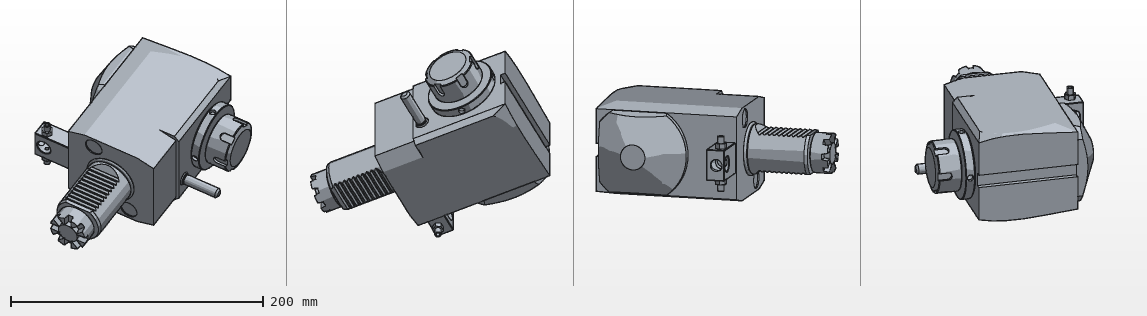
import cadquery as cq
import math


BODY_LENGTH = 116.1
BODY_HALF_HEIGHT = 37.5
SIDE_HALF_HEIGHT = 33.5
BODY_LEFT = -39.5
BODY_RIGHT = 41.5
FRONT_RIGHT = 39.0
FRONT_PORTION_LENGTH = 35.0
BEVEL_ANGLE = 15
BEVEL_DROP = BODY_HALF_HEIGHT - SIDE_HALF_HEIGHT
BEVEL_RUN = BEVEL_DROP / math.tan(math.radians(BEVEL_ANGLE))
LEFT_BEVEL_X = BODY_LEFT + BEVEL_RUN
RIGHT_CHAMFER = BEVEL_DROP
RIGHT_BEVEL_X = BODY_RIGHT - RIGHT_CHAMFER

RELIEF_SETBACK = 12.5
CROWN_SETBACK = 3.3
CROWN_X = 11.0
LEFT_SHOULDER = (-9.2, 7.0)
RIGHT_SHOULDER = (27.6, 6.3)
REAR_CROWN_HEIGHT = 37.0
REAR_SHOULDER = (-14.7, 35.5)

REAR_SLOT_WIDTH = 10.7
REAR_SLOT_DEPTH = 4.0

BOLT_X = 16.1
BOLT_Z = 27.8
BOLT_RADIUS = 7.5
BOLT_DEPTH = 1.1

SPINDLE_Y = 80.0
CAP_RADIUS = 40.0
CAP_RIM = 5.3
CAP_HEIGHT = 20.0
CAP_TIP_RADIUS = 10.1
CAP_BACK = 31.5
CAP_STEP = 1.7

BLOCK_LEFT = -71.2
BLOCK_FRONT = 1.1
BLOCK_DEPTH = 14.9
BLOCK_HALF_HEIGHT = 12.5
BLOCK_EDGE = 0.5
CROSS_X = -62.7
CROSS_RADIUS = 6.0
CROSS_CHAMFER = 0.5
PORT_Y = 7.7
PORT_RADIUS = 4.8
PORT_DEPTH = 19.3
PORT_PILOT_RADIUS = 1.5
PORT_PILOT_DEPTH = 3.7
NOZZLE_Y = 6.3
NUT_ACROSS_CORNERS = 9.0
NUT_HEIGHT = 4.0
NOZZLE_RADIUS = 2.5
NOZZLE_TOP = 22.0
NOZZLE_BORE_RADIUS = 1.5

NECK_RADIUS = 26.1
RING_START = 42.5
RING_END = 50.0
RING_RADIUS = 28.0
RING_CHAMFER = 0.5
RING_HOLE_RADIUS = 2.5
RING_HOLE_DEPTH = 2.8
RING_HOLES = 4
DRILL_POINT = 1.5
COLLAR_RADIUS = 16.4
NUT_START = 51.2
NUT_END = 71.8
NUT_RADIUS = 21.0
NUT_CHAMFER = 0.7
NUT_BEVEL_START = 69.4
NUT_BEVEL_MIDDLE = (70.1, 20.5)
NUT_FACE_RADIUS = 16.0
NUT_SLOTS = 6
NUT_SLOT_WIDTH = 6.3
NUT_SLOT_START = 59.5
NUT_SLOT_FLOOR = 18.8

PIN_Y = 42.9
PIN_Z = -17.57
PIN_RADIUS = 4.0
PIN_END = 74.0
PIN_CHAMFER = 1.7
PIN_BASE_RADIUS = 5.5
PIN_BASE_TOP_RADIUS = 4.8
PIN_BASE_HEIGHT = 1.1
PIN_GROOVE_RADIUS = 3.7
PIN_GROOVE_END = 43.6

SHANK_RADIUS = 20.0
SHANK_END = -52.5
SHANK_CHAMFER_LENGTH = 2.5
SHANK_END_RADIUS = 19.1
SEAL_RADIUS = 21.5
SEAL_WIDTH = 2.4
LEAD_IN_RADIUS = 19.5
LEAD_IN_LENGTH = 1.0
FLAT_HEIGHT = 15.8
FLAT_START = -9.4
RUNOUT_TOP_Y = -2.8
RUNOUT_TOP_Z = 22.0
TOOTH_PITCH = 4.0
TOOTH_DEPTH = 1.3
TOOTH_COUNT = 10
FIRST_VALLEY = -11.5
VALLEY_WIDTH = 3.7
VALLEY_FLOOR_WIDTH = 0.5

COUPLING_NECK_RADIUS = 12.7
COUPLING_START = -53.5
COUPLING_END = -67.9
COUPLING_RADIUS = 16.1
COUPLING_CHAMFER = 0.4
COUPLING_HUB_RADIUS = 8.6
COUPLING_SLOTS = 8
SLOT_DEPTH = 4.6
SLOT_FLOOR_WIDTH = 4.2
SLOT_MOUTH_WIDTH = 6.0

OVERLAP = 1.8
CLEAR = 73.6


def revolve_about_x(profile, y=0.0, z=0.0):
    """Revolve an (x, radius) profile about an axis parallel to X."""
    turned = cq.Workplane("XY").polyline(profile).close().revolve(360, (0, 0, 0), (1, 0, 0))
    return turned.translate((0, y, z))


def revolve_about_y(profile):
    """Revolve a (radius, y) profile about the Y axis."""
    return cq.Workplane("XY").polyline(profile).close().revolve(360, (0, 0, 0), (0, 1, 0))


def box_between(x0, x1, y0, y1, z0, z1):
    return cq.Workplane("XY").box(x1 - x0, y1 - y0, z1 - z0, centered=False).translate((x0, y0, z0))


def prism_along_y(outline, start, length):
    """Extrude an (x, z) outline from y = start towards +Y."""
    return cq.Workplane("XZ", origin=(0, start, 0)).polyline(outline).close().extrude(-length)


def mirror_z(solid):
    return solid.mirror("XY")


def mirrored(upper):
    """Reflect (x, z) outline points below z = 0, ordered to close the outline."""
    return [(x, -z) for x, z in reversed(upper)]


def housing_outline(right_top_x, right_side_x):
    """Cross-section of the housing, symmetric about z = 0."""
    upper = [
        (BODY_LEFT, SIDE_HALF_HEIGHT),
        (LEFT_BEVEL_X, BODY_HALF_HEIGHT),
        (right_top_x, BODY_HALF_HEIGHT),
        (right_side_x, SIDE_HALF_HEIGHT),
    ]
    return upper + mirrored(upper)


def rear_relief():
    """Wedge above the ruled surface between the rear edge and the crowned top edge."""
    rear_edge = cq.Edge.makeSpline([
        cq.Vector(BODY_LEFT, BODY_LENGTH, SIDE_HALF_HEIGHT),
        cq.Vector(REAR_SHOULDER[0], BODY_LENGTH, REAR_SHOULDER[1]),
        cq.Vector(CROWN_X, BODY_LENGTH, REAR_CROWN_HEIGHT),
        cq.Vector(BODY_RIGHT, BODY_LENGTH, SIDE_HALF_HEIGHT),
    ])
    crown_points = [
        (LEFT_BEVEL_X, RELIEF_SETBACK),
        LEFT_SHOULDER,
        (CROWN_X, CROWN_SETBACK),
        RIGHT_SHOULDER,
        (RIGHT_BEVEL_X, RELIEF_SETBACK),
    ]
    top_edge = cq.Edge.makeSpline([
        cq.Vector(x, BODY_LENGTH - setback, BODY_HALF_HEIGHT) for x, setback in crown_points])
    surface = cq.Face.makeRuledSurface(rear_edge, top_edge)
    return cq.Workplane(cq.Solid.extrudeLinear(surface, cq.Vector(0, 0, 2 * BEVEL_DROP)))


def make_housing():
    front = prism_along_y(
        housing_outline(FRONT_RIGHT - BEVEL_RUN, FRONT_RIGHT), 0, FRONT_PORTION_LENGTH)
    rear = prism_along_y(
        housing_outline(RIGHT_BEVEL_X, BODY_RIGHT),
        FRONT_PORTION_LENGTH, BODY_LENGTH - FRONT_PORTION_LENGTH)
    body = front.union(rear)
    relief = rear_relief()
    body = body.cut(relief).cut(mirror_z(relief))
    for side in (-1, 1):
        recess = (
            cq.Workplane("XZ").center(side * BOLT_X, -side * BOLT_Z)
            .circle(BOLT_RADIUS).extrude(-BOLT_DEPTH)
        )
        body = body.cut(recess)
    half_slot = REAR_SLOT_WIDTH / 2
    return body.cut(box_between(
        -CLEAR, CLEAR, BODY_LENGTH - REAR_SLOT_DEPTH, BODY_LENGTH + OVERLAP, -half_slot, half_slot))


def make_cap():
    """Cone on a short rim, trimmed flat at the rear and in line with the body bevels."""
    base_x = BODY_LEFT + OVERLAP
    rim_x = BODY_LEFT - CAP_RIM
    tip_x = BODY_LEFT - CAP_HEIGHT
    cap = revolve_about_x(
        [(base_x, 0), (base_x, CAP_RADIUS), (rim_x, CAP_RADIUS), (tip_x, CAP_TIP_RADIUS), (tip_x, 0)],
        SPINDLE_Y)
    slope = math.tan(math.radians(BEVEL_ANGLE))
    step_x = BODY_LEFT - CAP_STEP
    step_z = SIDE_HALF_HEIGHT - CAP_STEP * slope
    tip_z = SIDE_HALF_HEIGHT - CAP_HEIGHT * slope
    upper = [(tip_x, tip_z), (step_x, step_z), (base_x, step_z)]
    envelope = prism_along_y(
        upper + mirrored(upper),
        SPINDLE_Y - CAP_RADIUS, CAP_RADIUS + CAP_BACK)
    return cap.intersect(envelope)


def make_nozzle():
    """Tube nozzle with a hexagon foot, standing on the top of the coolant block."""
    base_z = BLOCK_HALF_HEIGHT - OVERLAP
    foot = cq.Workplane("XY", origin=(CROSS_X, NOZZLE_Y, base_z))
    nut = foot.polygon(6, NUT_ACROSS_CORNERS).extrude(NUT_HEIGHT + OVERLAP)
    tube = foot.circle(NOZZLE_RADIUS).extrude(NOZZLE_TOP - base_z)
    return nut.union(tube)


def make_coolant_block():
    block = box_between(
        BLOCK_LEFT, BODY_LEFT, BLOCK_FRONT, BLOCK_FRONT + BLOCK_DEPTH,
        -BLOCK_HALF_HEIGHT, BLOCK_HALF_HEIGHT)
    block = block.faces("<X").edges().chamfer(BLOCK_EDGE).edges("|X").chamfer(BLOCK_EDGE)
    block = block.union(box_between(
        BODY_LEFT - OVERLAP, BODY_LEFT + OVERLAP, BLOCK_FRONT + BLOCK_EDGE,
        BLOCK_FRONT + BLOCK_DEPTH - BLOCK_EDGE,
        BLOCK_EDGE - BLOCK_HALF_HEIGHT, BLOCK_HALF_HEIGHT - BLOCK_EDGE))
    nozzle = make_nozzle()
    block = block.union(nozzle).union(mirror_z(nozzle))
    cross = cq.Workplane("XZ").center(CROSS_X, 0).circle(CROSS_RADIUS).extrude(-CLEAR)
    block = block.cut(cross)
    block = block.faces("<Y").edges("%CIRCLE").chamfer(CROSS_CHAMFER)
    port_plane = cq.Workplane("YZ", origin=(BLOCK_LEFT, PORT_Y, 0))
    port = port_plane.circle(PORT_RADIUS).extrude(PORT_DEPTH)
    pilot = port_plane.circle(PORT_PILOT_RADIUS).extrude(PORT_DEPTH + PORT_PILOT_DEPTH)
    nozzle_bore = (
        cq.Workplane("XY").center(CROSS_X, NOZZLE_Y)
        .circle(NOZZLE_BORE_RADIUS).extrude(NOZZLE_TOP, both=True)
    )
    return block.cut(port).cut(pilot).cut(nozzle_bore)


def ring_hole():
    """Drilled spanner hole with a conical bottom, entering the ring from +Z."""
    floor = RING_RADIUS - RING_HOLE_DEPTH
    drill = (
        cq.Workplane("XZ")
        .polyline([
            (0, floor - DRILL_POINT), (RING_HOLE_RADIUS, floor),
            (RING_HOLE_RADIUS, RING_RADIUS + OVERLAP), (0, RING_RADIUS + OVERLAP)])
        .close().revolve(360, (0, 0, 0), (0, 1, 0))
    )
    return drill.translate(((RING_START + RING_END) / 2, 0, 0))


def nut_slot():
    """Spanner slot with a round inner end, on the +Y side of the nut."""
    radius = NUT_SLOT_WIDTH / 2
    round_x = NUT_SLOT_START + radius
    profile = cq.Workplane("XZ", origin=(0, NUT_SLOT_FLOOR, 0))
    round_end = profile.center(round_x, 0).circle(radius).extrude(-CLEAR)
    return round_end.union(box_between(
        round_x, NUT_END + OVERLAP, NUT_SLOT_FLOOR, NUT_SLOT_FLOOR + CLEAR, -radius, radius))


def make_spindle_nose():
    ring = revolve_about_x([
        (BODY_RIGHT - OVERLAP, 0),
        (BODY_RIGHT - OVERLAP, NECK_RADIUS),
        (RING_START, NECK_RADIUS),
        (RING_START, RING_RADIUS - RING_CHAMFER),
        (RING_START + RING_CHAMFER, RING_RADIUS),
        (RING_END - RING_CHAMFER, RING_RADIUS),
        (RING_END, RING_RADIUS - RING_CHAMFER),
        (RING_END, 0),
    ])
    for i in range(RING_HOLES):
        ring = ring.cut(ring_hole().rotate((0, 0, 0), (1, 0, 0), 360 / RING_HOLES * i))
    nut = revolve_about_x([
        (RING_END - OVERLAP, 0),
        (RING_END - OVERLAP, COLLAR_RADIUS),
        (NUT_START, COLLAR_RADIUS),
        (NUT_START, NUT_RADIUS - NUT_CHAMFER),
        (NUT_START + NUT_CHAMFER, NUT_RADIUS),
        (NUT_BEVEL_START, NUT_RADIUS),
        NUT_BEVEL_MIDDLE,
        (NUT_END, NUT_FACE_RADIUS),
        (NUT_END, 0),
    ])
    for i in range(NUT_SLOTS):
        nut = nut.cut(nut_slot().rotate((0, 0, 0), (1, 0, 0), 360 / NUT_SLOTS * i))
    return ring.union(nut).translate((0, SPINDLE_Y, 0))


def make_pin():
    base_end = BODY_RIGHT + PIN_BASE_HEIGHT
    return revolve_about_x([
        (BODY_RIGHT - OVERLAP, 0),
        (BODY_RIGHT - OVERLAP, PIN_BASE_RADIUS),
        (BODY_RIGHT, PIN_BASE_RADIUS),
        (base_end, PIN_BASE_TOP_RADIUS),
        (base_end, PIN_GROOVE_RADIUS),
        (PIN_GROOVE_END, PIN_GROOVE_RADIUS),
        (PIN_GROOVE_END, PIN_RADIUS),
        (PIN_END - PIN_CHAMFER, PIN_RADIUS),
        (PIN_END, PIN_RADIUS - PIN_CHAMFER),
        (PIN_END, 0),
    ], PIN_Y, PIN_Z)


def serration_cutter():
    """Flat with V-shaped, flat-bottomed valleys and a sloping run-out, above the shank."""
    outline = [(RUNOUT_TOP_Y, RUNOUT_TOP_Z), (FLAT_START, FLAT_HEIGHT)]
    for i in range(TOOTH_COUNT):
        valley = FIRST_VALLEY - TOOTH_PITCH * i
        outline += [
            (valley + VALLEY_WIDTH / 2, FLAT_HEIGHT),
            (valley + VALLEY_FLOOR_WIDTH / 2, FLAT_HEIGHT - TOOTH_DEPTH),
            (valley - VALLEY_FLOOR_WIDTH / 2, FLAT_HEIGHT - TOOTH_DEPTH),
            (valley - VALLEY_WIDTH / 2, FLAT_HEIGHT),
        ]
    outline += [(SHANK_END, FLAT_HEIGHT), (SHANK_END, RUNOUT_TOP_Z)]
    return cq.Workplane("YZ").polyline(outline).close().extrude(SHANK_RADIUS, both=True)


def make_shank():
    shank = revolve_about_y([
        (0, OVERLAP),
        (LEAD_IN_RADIUS, OVERLAP),
        (LEAD_IN_RADIUS, -SEAL_WIDTH),
        (SHANK_RADIUS, -SEAL_WIDTH - LEAD_IN_LENGTH),
        (SHANK_RADIUS, SHANK_END + SHANK_CHAMFER_LENGTH),
        (SHANK_END_RADIUS, SHANK_END),
        (0, SHANK_END),
    ])
    cutter = serration_cutter()
    shank = shank.cut(cutter).cut(mirror_z(cutter))
    bead_radius = SEAL_WIDTH / 2
    seal = (
        cq.Workplane("XY")
        .moveTo(0, OVERLAP)
        .lineTo(SEAL_RADIUS - bead_radius, OVERLAP)
        .lineTo(SEAL_RADIUS - bead_radius, 0)
        .threePointArc((SEAL_RADIUS, -bead_radius), (SEAL_RADIUS - bead_radius, -SEAL_WIDTH))
        .lineTo(0, -SEAL_WIDTH)
        .close().revolve(360, (0, 0, 0), (0, 1, 0))
    )
    return shank.union(seal)


def make_coupling():
    coupling = revolve_about_y([
        (0, SHANK_END + OVERLAP),
        (COUPLING_NECK_RADIUS, SHANK_END + OVERLAP),
        (COUPLING_NECK_RADIUS, COUPLING_START),
        (COUPLING_RADIUS - COUPLING_CHAMFER, COUPLING_START),
        (COUPLING_RADIUS, COUPLING_START - COUPLING_CHAMFER),
        (COUPLING_RADIUS, COUPLING_END),
        (0, COUPLING_END),
    ])
    half_mouth = SLOT_MOUTH_WIDTH / 2
    half_floor = SLOT_FLOOR_WIDTH / 2
    floor_y = COUPLING_END + SLOT_DEPTH
    slot = (
        cq.Workplane("XY")
        .polyline([
            (-half_mouth, COUPLING_END), (-half_floor, floor_y),
            (half_floor, floor_y), (half_mouth, COUPLING_END)])
        .close().extrude(COUPLING_RADIUS + OVERLAP)
    )
    hub = cq.Workplane("XZ", origin=(0, floor_y, 0)).circle(COUPLING_HUB_RADIUS).extrude(SLOT_DEPTH)
    slot = slot.cut(hub)
    for i in range(COUPLING_SLOTS):
        coupling = coupling.cut(slot.rotate((0, 0, 0), (0, 1, 0), 360 / COUPLING_SLOTS * i))
    return coupling


result = make_housing()
for component in (
    make_cap(), make_coolant_block(), make_spindle_nose(), make_pin(), make_shank(), make_coupling(),
):
    result = result.union(component)